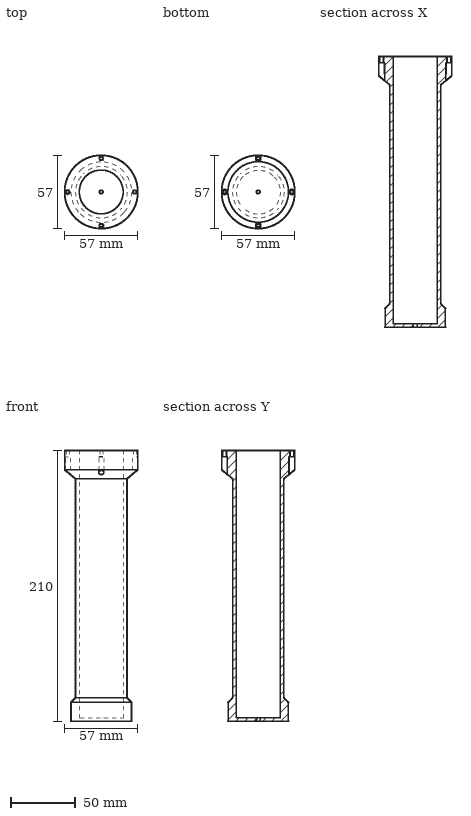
import cadquery as cq

total_height = 210.0
tube_diameter = 40.0
bore_diameter = 34.0
wall_thickness = (tube_diameter - bore_diameter) / 2
floor_thickness = wall_thickness

foot_diameter = 47.0
foot_height = 15.0
foot_taper_height = (foot_diameter - tube_diameter) / 2

flange_diameter = 57.0
flange_height = 15.0
flange_taper_height = 7.0

small_hole_diameter = 2.53
bolt_circle_radius = 26.0
bolt_count = 4
counterbore_diameter = 4.0
counterbore_roof_thickness = 5.0


def make_body():
    """Revolve the outer half profile about Z into a solid column."""
    tube_radius = tube_diameter / 2
    foot_radius = foot_diameter / 2
    flange_radius = flange_diameter / 2
    flange_bottom = total_height - flange_height
    profile = (
        cq.Workplane("XZ")
        .moveTo(0, 0)
        .lineTo(foot_radius, 0)
        .lineTo(foot_radius, foot_height)
        .lineTo(tube_radius, foot_height + foot_taper_height)
        .lineTo(tube_radius, flange_bottom - flange_taper_height)
        .lineTo(flange_radius, flange_bottom)
        .lineTo(flange_radius, total_height)
        .lineTo(0, total_height)
        .close()
    )
    return profile.revolve(360, (0, 0, 0), (0, 1, 0))


def make_bore():
    """Main bore, open at the top and closed by the floor at the bottom."""
    bore_depth = total_height - floor_thickness
    return (
        cq.Workplane("XY")
        .workplane(offset=floor_thickness)
        .circle(bore_diameter / 2)
        .extrude(bore_depth)
    )


def make_floor_hole():
    """Small hole on the axis, through the floor."""
    return cq.Workplane("XY").circle(small_hole_diameter / 2).extrude(floor_thickness)


def make_bolt_holes():
    """Ring of small holes down through the flange."""
    hole_depth = flange_height + flange_taper_height
    return (
        cq.Workplane("XY")
        .workplane(offset=total_height)
        .polarArray(bolt_circle_radius, 0, 360, bolt_count)
        .circle(small_hole_diameter / 2)
        .extrude(-hole_depth)
    )


def make_counterbores():
    """Wider lower parts of the flange holes, cut up from the underside to a roof below the top face."""
    counterbore_depth = flange_height + flange_taper_height - counterbore_roof_thickness
    return (
        cq.Workplane("XY")
        .workplane(offset=total_height - counterbore_roof_thickness)
        .polarArray(bolt_circle_radius, 0, 360, bolt_count)
        .circle(counterbore_diameter / 2)
        .extrude(-counterbore_depth)
    )


result = (
    make_body()
    .cut(make_bore())
    .cut(make_floor_hole())
    .cut(make_bolt_holes())
    .cut(make_counterbores())
)